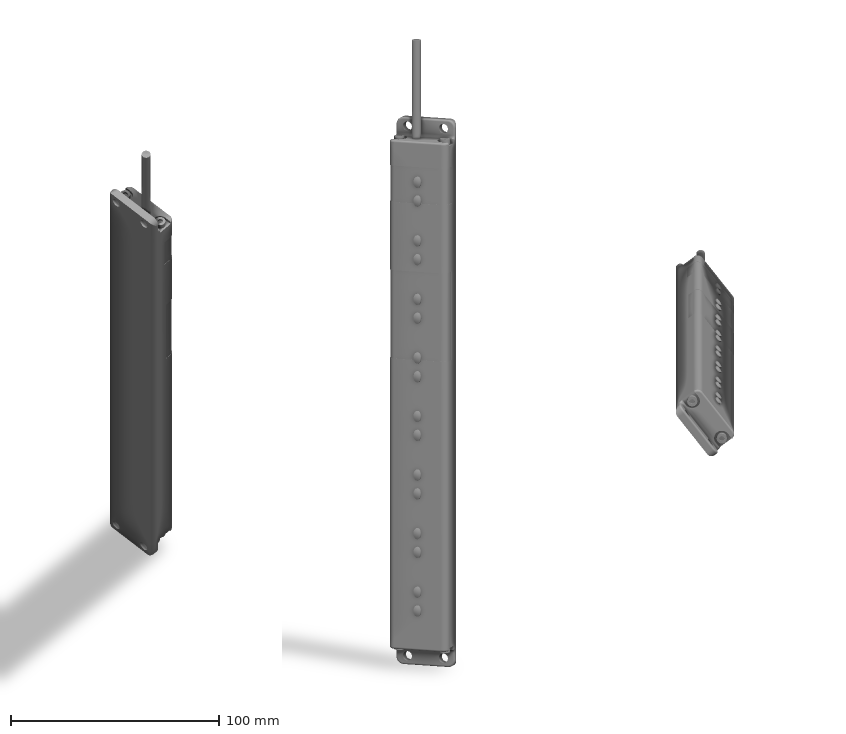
import cadquery as cq

total_length = 306.0
total_depth = 16.5
width = 30.0
body_depth = 15.3
body_length = 267.2
corner_radius = 3.0

cap_height = 13.0
flange_thickness = 4.3
flange_corner_radius = 3.7
flange_reach = 9.0
shoulder_drop = 0.5
shoulder_rounding = 1.0
step_fillet = 1.5
mount_hole_diameter = 4.5
mount_hole_spacing = 18.5
mount_hole_inset = 4.3

screw_inset = 3.5
screw_y = 9.0
screw_head_diameter = 5.0
screw_projection = 0.5
socket_diameter = 2.5
socket_depth = 1.2
pocket_diameter = 7.3
pocket_depth = 2.0

cable_diameter = 4.3
cable_x = 3.5
cable_y = 7.5

label_depth = 0.15
upper_label_bottom = 227.7
upper_label_length = 17.8
upper_label_wrap = 7.0
lower_label_bottom = 151.2
lower_label_length = 43.2
lower_label_wrap = 6.0

pip_length = 5.5
pip_width = 3.7
pip_dome_radius = 5.5
pip_pairs = 8
pip_spacing = 9.2
first_pair_z = 28.8
last_pair_z = 229.0

cap_shoulder = cap_height - flange_reach
half_width = width / 2


def bar(bottom, length, inset=0.0):
    """A bar with the rounded section of the part, drawn in by an inset on all sides."""
    return (
        cq.Workplane("XY", origin=(0, body_depth / 2, bottom))
        .rect(width - 2 * inset, body_depth - 2 * inset)
        .extrude(length)
        .edges("|Z")
        .fillet(corner_radius - inset)
    )


def label_recess(bottom, length, wrap):
    """The thin layer that a label recess takes off the rear and both sides."""
    rear_block = (
        cq.Workplane("XY", origin=(0, body_depth - wrap / 2, bottom))
        .rect(width, wrap)
        .extrude(length)
    )
    return rear_block.cut(bar(bottom, length, label_depth))


def pip(z):
    """A low oval dome on the rear face, rooted below the floor of the label recesses."""
    height = total_depth - body_depth
    dome = cq.Workplane("XY", origin=(0, total_depth - pip_dome_radius, z)).sphere(pip_dome_radius)
    oval = (
        cq.Workplane("XZ", origin=(0, total_depth, z))
        .ellipse(pip_width / 2, pip_length / 2)
        .extrude(height + 2 * label_depth)
    )
    return dome.intersect(oval)


def make_profile():
    """The long housing between the end caps."""
    body = bar(cap_height, body_length - 2 * cap_height)
    body = body.cut(label_recess(upper_label_bottom, upper_label_length, upper_label_wrap))
    body = body.cut(label_recess(lower_label_bottom, lower_label_length, lower_label_wrap))
    pair_pitch = (last_pair_z - first_pair_z) / (pip_pairs - 1)
    for pair in range(pip_pairs):
        pair_z = first_pair_z + pair * pair_pitch
        for z in (pair_z, pair_z + pip_spacing):
            body = body.union(pip(z))
    return body


def upright_cylinder(x, y, bottom, top, diameter):
    """A cylinder along Z between two heights."""
    return cq.Workplane("XY", origin=(x, y, bottom)).circle(diameter / 2).extrude(top - bottom)


def make_cap():
    """An end cap with its joint face at z = 0 and its mounting flange upwards."""
    step_block = (
        cq.Workplane("YZ", origin=(-half_width, 0, 0))
        .lineTo(body_depth, 0)
        .lineTo(body_depth, cap_shoulder - shoulder_drop)
        .lineTo(flange_thickness + step_fillet, cap_shoulder)
        .radiusArc((flange_thickness, cap_shoulder + step_fillet), step_fillet)
        .lineTo(flange_thickness, cap_height)
        .lineTo(0, cap_height)
        .close()
        .extrude(width)
    )
    rounded_front = (
        cq.Workplane("XZ", origin=(0, body_depth, cap_height / 2))
        .rect(width, cap_height)
        .extrude(body_depth)
        .edges("|Y and >Z")
        .fillet(flange_corner_radius)
    )
    cap = bar(0, cap_height).intersect(step_block).intersect(rounded_front)

    shoulder_rim = cq.selectors.BoxSelector(
        (-width, flange_thickness + step_fillet + shoulder_rounding, cap_shoulder - 2 * shoulder_drop),
        (width, 2 * body_depth, cap_height),
    )
    cap = cap.edges(shoulder_rim).fillet(shoulder_rounding)

    screw_top = cap_shoulder + screw_projection
    pocket_floor = cap_shoulder - pocket_depth
    for side in (-1, 1):
        hole_x = side * mount_hole_spacing / 2
        hole_z = cap_height - mount_hole_inset
        hole = (
            cq.Workplane("XZ", origin=(hole_x, flange_thickness, hole_z))
            .circle(mount_hole_diameter / 2)
            .extrude(flange_thickness)
        )
        cap = cap.cut(hole)

        screw_x = side * (half_width - screw_inset)
        pocket = upright_cylinder(screw_x, screw_y, pocket_floor, screw_top, pocket_diameter)
        pocket_mouth = (
            cq.Workplane("XY", origin=(side * (half_width - screw_inset / 2), screw_y, pocket_floor))
            .rect(screw_inset, pocket_diameter)
            .extrude(screw_top - pocket_floor)
        )
        head = upright_cylinder(screw_x, screw_y, pocket_floor, screw_top, screw_head_diameter)
        socket = upright_cylinder(screw_x, screw_y, screw_top - socket_depth, screw_top, socket_diameter)
        cap = cap.cut(pocket).cut(pocket_mouth).union(head).cut(socket)
    return cap


profile = make_profile()

lower_cap = make_cap().mirror("XY").translate((0, 0, cap_height))

upper_cap_bottom = body_length - cap_height
upper_cap = make_cap().translate((0, 0, upper_cap_bottom))
cable = upright_cylinder(cable_x, cable_y, upper_cap_bottom, total_length, cable_diameter)
upper_cap = upper_cap.union(cable)

result = cq.Compound.makeCompound([profile.val(), lower_cap.val(), upper_cap.val()])